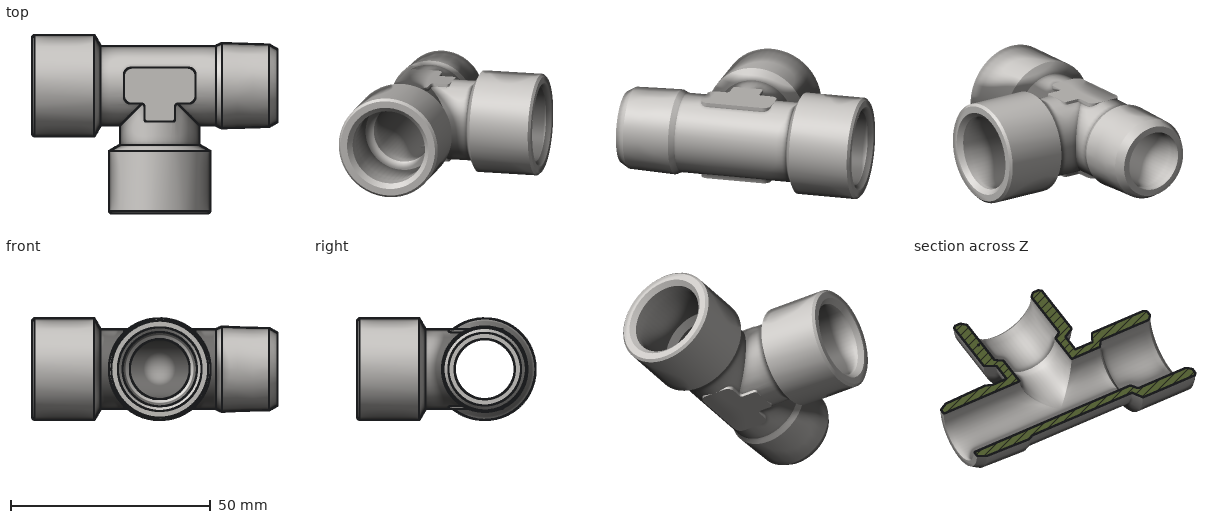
import cadquery as cq
import math

body_radius = 20.0 / 2
bore_radius = 15.0 / 2

socket_reach = 32.0
socket_radius = 25.5 / 2
socket_length = 15.6
socket_back_angle = 30.0
socket_rim_chamfer = 0.6
socket_back_length = (socket_radius - body_radius) * math.tan(math.radians(socket_back_angle))

thread_radius = 18.63 / 2
thread_mouth_radius = 20.955 / 2
thread_depth = 15.0
thread_mouth_angle = 45.0
drill_tip_angle = 55.0
thread_mouth_depth = (thread_mouth_radius - thread_radius) / math.tan(math.radians(thread_mouth_angle))
drill_tip_length = (thread_radius - bore_radius) / math.tan(math.radians(drill_tip_angle))

male_reach = 29.5
male_length = 15.45
male_shoulder_length = 1.5
male_tip_length = 2.15
male_large_radius = 10.7
male_tip_angle = 30.0
male_taper = 1 / 16
male_taper_length = male_length - male_shoulder_length - male_tip_length
male_small_radius = male_large_radius - male_taper_length * male_taper / 2
male_end_radius = male_small_radius - male_tip_length * math.tan(math.radians(male_tip_angle))

pad_top = body_radius
pad_length = 17.9
pad_width = 9.0
pad_corner_radius = 1.8
stem_width = 7.7
stem_end = 9.0
stem_corner_radius = 0.7


def revolve_about_x(points):
    return cq.Workplane("XY").polyline(points).close().revolve(360, (0, 0, 0), (1, 0, 0))


def turn_to_branch(shape):
    """Turn a shape lying along -X so that it lies along -Y."""
    return shape.rotate((0, 0, 0), (0, 0, 1), 90)


def female_arm():
    """Solid half of the run, from the junction to the face of its socket on -X."""
    face = -socket_reach
    socket_back = face + socket_length
    return revolve_about_x([
        (0, 0),
        (face, 0),
        (face, socket_radius - socket_rim_chamfer),
        (face + socket_rim_chamfer, socket_radius),
        (socket_back, socket_radius),
        (socket_back + socket_back_length, body_radius),
        (0, body_radius),
    ])


def female_bore():
    """Space inside a female arm: mouth chamfer, thread hole, conical bottom and bore."""
    face = -socket_reach
    thread_end = face + thread_depth
    return revolve_about_x([
        (0, 0),
        (face, 0),
        (face, thread_mouth_radius),
        (face + thread_mouth_depth, thread_radius),
        (thread_end, thread_radius),
        (thread_end + drill_tip_length, bore_radius),
        (0, bore_radius),
    ])


def male_arm():
    """Solid half of the run, from the junction to the tapered end on +X."""
    male_start = male_reach - male_length
    return revolve_about_x([
        (0, 0),
        (0, body_radius),
        (male_start, body_radius),
        (male_start + male_shoulder_length, male_large_radius),
        (male_reach - male_tip_length, male_small_radius),
        (male_reach, male_end_radius),
        (male_reach, 0),
    ])


def male_bore():
    return cq.Workplane("YZ").circle(bore_radius).extrude(male_reach)


def pads():
    """T-shaped block through the junction whose ends are the top and bottom pads."""
    height = 2 * pad_top
    bar = (
        cq.Workplane("XY")
        .box(pad_length, pad_width, height)
        .edges("|Z")
        .fillet(pad_corner_radius)
    )
    stem = (
        cq.Workplane("XY")
        .box(stem_width, stem_end, height)
        .translate((0, -stem_end / 2, 0))
        .edges("|Z and <Y")
        .fillet(stem_corner_radius)
    )
    tee = bar.union(stem)
    inner_corners = cq.selectors.BoxSelector(
        (-stem_width, -pad_width / 2 - stem_corner_radius, -height),
        (stem_width, -pad_width / 2 + stem_corner_radius, height),
    )
    return tee.edges("|Z").edges(inner_corners).fillet(stem_corner_radius)


arms = female_arm().union(turn_to_branch(female_arm())).union(male_arm())
bores = female_bore().union(turn_to_branch(female_bore())).union(male_bore())
result = arms.union(pads()).cut(bores)